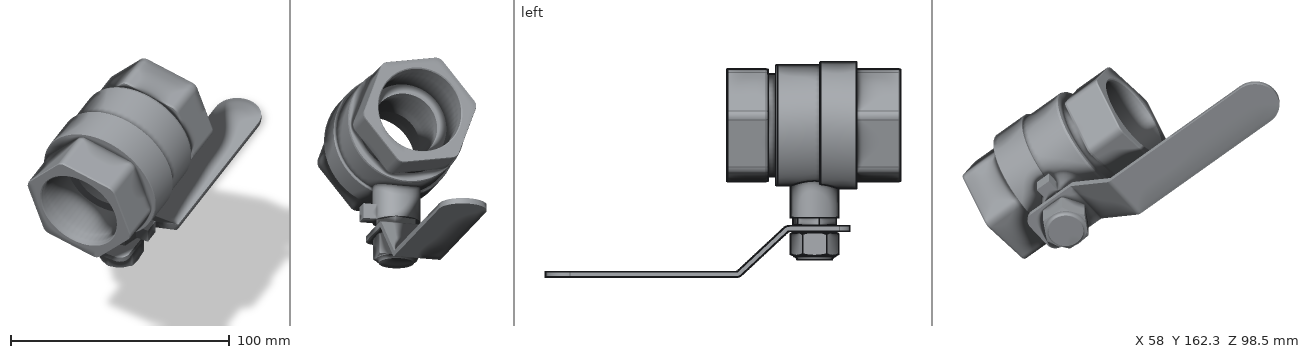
import cadquery as cq
import math


bore_d = 30.5
port_d = 39.3
port_chamfer = 0.5
port_floor_y = 14.6
ball_d = 40.5

end_hex_flats = 48.0
end_hex_turn = 10.0
end_hex_corner_r = 4.0
end_hex_bevel_inset = 0.25
housing_bevel_length = 0.8
cap_back_bevel_length = 0.6
cap_front_bevel_length = 1.0

housing_front_y = -39.3
collar_front_y = -19.3
collar_back_y = -2.5
barrel_back_y = 17.8
collar_d = 58.0
barrel_d = 55.5
collar_chamfer = 0.3
barrel_chamfer_length = 1.0
barrel_chamfer_inset = 0.3

neck_d = 47.0
spigot_front_y = 6.5
cap_hex_front_y = 21.2
cap_back_y = 40.2

boss_d = 22.0
boss_bottom_z = -42.2
lug_inner_x = 9.7
lug_outer_x = 16.5
lug_width = 7.1
lug_height = 7.0

gland_flats = 18.0
gland_turn = 12.3
gland_bottom_z = -45.5
stem_shoulder_z = -45.9
stem_d = 12.0
stem_thread_d = 10.4
stem_top_z = -17.8
stem_bottom_z = -61.5

lever_width = boss_d
lever_thickness = 2.6
lever_front_y = -16.0
lever_back_y = 123.0
lever_corner_r = 4.9
lever_drop = 21.0
lever_bend_y = 13.0
lever_slope = 43.0
lever_bend_r = 0.8

nut_flats = 19.1
nut_turn = 30.0
nut_face_d = 16.0
nut_face_height = 0.6
nut_chamfer_height = 0.6
nut_chamfer_d = 20.5
nut_hex_bottom_z = -59.5
nut_collar_d = 19.1


def hexagon_corners_d(flats):
    """Distance across the corners of a hexagon from the distance across its flats."""
    return flats / math.cos(math.pi / 6)


def y_cylinder(diameter, y_start, y_end):
    """Solid cylinder on the bore axis between two Y positions."""
    plane = cq.Workplane("XZ", origin=(0, y_start, 0))
    return plane.circle(diameter / 2).extrude(y_start - y_end)


def z_cylinder(diameter, z_start, z_end):
    """Solid cylinder on the stem axis between two Z positions."""
    return cq.Workplane("XY", origin=(0, 0, z_start)).circle(diameter / 2).extrude(z_end - z_start)


def z_hexagon(flats, turn, z_start, z_end):
    """Hexagonal prism on the stem axis; a turn of 0 puts a corner on +X."""
    plane = cq.Workplane("XY", origin=(0, 0, z_start))
    prism = plane.polygon(6, hexagon_corners_d(flats)).extrude(z_end - z_start)
    return prism.rotate((0, 0, 0), (0, 0, 1), turn)


def end_hexagon(y_start, y_end):
    """Round-cornered hexagonal prism on the bore axis."""
    plane = cq.Workplane("XZ", origin=(0, y_start, 0))
    prism = plane.polygon(6, hexagon_corners_d(end_hex_flats)).extrude(y_start - y_end)
    return prism.edges("|Y").fillet(end_hex_corner_r).rotate((0, 0, 0), (0, 1, 0), end_hex_turn)


def bevel_hexagon_end(hexagon, face, length):
    """Slim bevel round one end of an end hexagon, measured along the bore axis."""
    return hexagon.faces(face).chamfer(length, end_hex_bevel_inset)


def port(y_open, y_floor):
    """Cutter for a threaded port with a chamfered mouth."""
    mouth_d = port_d + 2 * port_chamfer
    y_step = math.copysign(port_chamfer, y_floor - y_open)
    plane = cq.Workplane("XZ", origin=(0, y_open, 0))
    mouth = plane.circle(mouth_d / 2).workplane(offset=-y_step).circle(port_d / 2).loft()
    return y_cylinder(port_d, y_open, y_floor).union(mouth)


def make_housing():
    front_hex = bevel_hexagon_end(end_hexagon(housing_front_y, collar_front_y), "<Y", housing_bevel_length)
    collar = y_cylinder(collar_d, collar_front_y, collar_back_y).edges().chamfer(collar_chamfer)
    barrel = y_cylinder(barrel_d, collar_back_y, barrel_back_y)
    barrel = barrel.faces(">Y").chamfer(barrel_chamfer_length, barrel_chamfer_inset)
    boss = z_cylinder(boss_d, boss_bottom_z, 0)
    lug = cq.Workplane("XY").box(
        lug_outer_x - lug_inner_x, lug_width, lug_height, centered=(False, True, False)
    ).translate((lug_inner_x, 0, boss_bottom_z))
    shell = front_hex.union(collar).union(barrel).union(boss).union(lug)

    ball_room = cq.Workplane("XY").sphere(ball_d / 2).union(y_cylinder(ball_d, 0, spigot_front_y))
    spigot_socket = y_cylinder(neck_d, spigot_front_y, barrel_back_y)
    return (
        shell.cut(ball_room)
        .cut(spigot_socket)
        .cut(port(housing_front_y, -port_floor_y))
        .cut(y_cylinder(bore_d, housing_front_y, 0))
        .cut(z_cylinder(stem_d, boss_bottom_z, 0))
    )


def make_end_cap():
    hexagon = end_hexagon(cap_hex_front_y, cap_back_y)
    hexagon = bevel_hexagon_end(hexagon, "<Y", cap_front_bevel_length)
    hexagon = bevel_hexagon_end(hexagon, ">Y", cap_back_bevel_length)
    neck = y_cylinder(neck_d, spigot_front_y, cap_hex_front_y)
    return (
        hexagon.union(neck)
        .cut(cq.Workplane("XY").sphere(ball_d / 2))
        .cut(port(cap_back_y, port_floor_y))
        .cut(y_cylinder(bore_d, 0, cap_back_y))
    )


def make_ball():
    sphere = cq.Workplane("XY").sphere(ball_d / 2)
    bore = y_cylinder(bore_d, -ball_d / 2, ball_d / 2)
    stem_recess = z_cylinder(stem_d, -ball_d / 2, stem_top_z)
    return sphere.cut(bore).cut(stem_recess)


def make_gland():
    hexagon = z_hexagon(gland_flats, gland_turn, gland_bottom_z, boss_bottom_z)
    return hexagon.cut(z_cylinder(stem_d, gland_bottom_z, boss_bottom_z))


def make_stem():
    shank = z_cylinder(stem_d, stem_shoulder_z, stem_top_z)
    return shank.union(z_cylinder(stem_thread_d, stem_bottom_z, stem_shoulder_z))


def make_lever_strip(top_z, grip_top_z):
    """Cranked strip with rounded bends and a square grip end."""
    foot_y = lever_bend_y + (top_z - grip_top_z) / math.tan(math.radians(lever_slope))
    lower_shift = lever_thickness * math.tan(math.radians(lever_slope / 2))
    bend_top = (lever_bend_y, top_z)
    foot_top = (foot_y, grip_top_z)
    foot_bottom = (foot_y - lower_shift, grip_top_z - lever_thickness)
    bend_bottom = (lever_bend_y - lower_shift, top_z - lever_thickness)
    strip = (
        cq.Workplane("YZ", origin=(-lever_width / 2, 0, 0))
        .moveTo(lever_front_y, top_z)
        .lineTo(*bend_top)
        .lineTo(*foot_top)
        .lineTo(lever_back_y, grip_top_z)
        .lineTo(lever_back_y, grip_top_z - lever_thickness)
        .lineTo(*foot_bottom)
        .lineTo(*bend_bottom)
        .lineTo(lever_front_y, top_z - lever_thickness)
        .close()
        .extrude(lever_width)
    )
    outer_bend_r = lever_bend_r + lever_thickness
    bends = [
        (bend_top, outer_bend_r),
        (foot_top, lever_bend_r),
        (foot_bottom, outer_bend_r),
        (bend_bottom, lever_bend_r),
    ]
    for (y, z), radius in bends:
        strip = strip.edges(cq.NearestToPointSelector((0, y, z))).fillet(radius)
    return strip


def make_lever():
    grip_top_z = stem_shoulder_z - lever_drop
    strip = make_lever_strip(stem_shoulder_z, grip_top_z)
    strip = strip.edges("|Z and <Y").fillet(lever_corner_r)

    grip_end_y = lever_back_y - lever_width / 2
    end_square = cq.Workplane("XY", origin=(0, grip_end_y, grip_top_z - lever_thickness)).box(
        lever_width, lever_width / 2, lever_thickness, centered=(True, False, False)
    )
    end_disc = z_cylinder(lever_width, grip_top_z - lever_thickness, grip_top_z)
    end_corners = end_square.cut(end_disc.translate((0, grip_end_y, 0)))
    stem_hole = z_cylinder(stem_thread_d, stem_shoulder_z - lever_thickness, stem_shoulder_z)
    return strip.cut(end_corners).cut(stem_hole)


def make_nut():
    top_z = stem_shoulder_z - lever_thickness
    hex_top_z = top_z - nut_face_height
    corner_r = hexagon_corners_d(nut_flats) / 2
    collar_fillet = (nut_collar_d - nut_face_d) / 2
    turned = (
        cq.Workplane("XZ")
        .moveTo(0, top_z)
        .lineTo(nut_face_d / 2, top_z)
        .lineTo(nut_face_d / 2, hex_top_z)
        .lineTo(nut_chamfer_d / 2, hex_top_z)
        .lineTo(corner_r, hex_top_z - nut_chamfer_height)
        .lineTo(corner_r, nut_hex_bottom_z + nut_chamfer_height)
        .lineTo(nut_collar_d / 2, nut_hex_bottom_z)
        .lineTo(nut_collar_d / 2, stem_bottom_z + collar_fillet)
        .radiusArc((nut_face_d / 2, stem_bottom_z), -collar_fillet)
        .lineTo(0, stem_bottom_z)
        .close()
        .revolve(360, (0, 0, 0), (0, 1, 0))
    )
    hexagon = z_hexagon(nut_flats, nut_turn, stem_bottom_z, top_z)
    return turned.intersect(hexagon).cut(z_cylinder(stem_thread_d, stem_bottom_z, top_z))


housing = make_housing()
end_cap = make_end_cap()
ball = make_ball()
gland = make_gland()
stem = make_stem()
lever = make_lever()
nut = make_nut()

result = cq.Compound.makeCompound(
    [housing.val(), end_cap.val(), ball.val(), gland.val(), stem.val(), lever.val(), nut.val()]
)